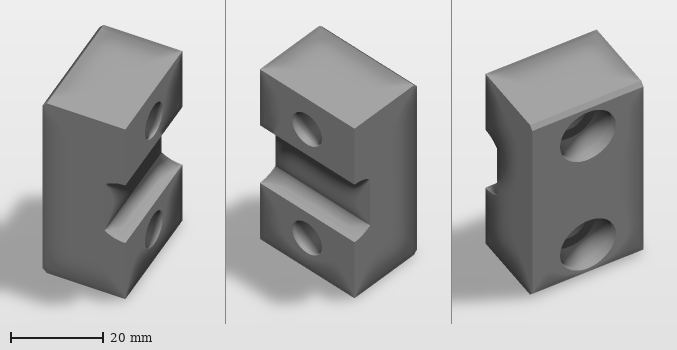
import cadquery as cq

width = 20.0
depth = 28.0
height = 50.0
chamfer = 1.0

hole_spacing = 32.0
hole_diameter = 8.8
counterbore_diameter = 14.0
counterbore_depth = 8.0

groove_radius = 8.5
groove_depth = 5.0


def make_block():
    """Plain block with the two horizontal edges of the -X face chamfered."""
    block = cq.Workplane("XY").box(width, depth, height)
    return block.faces("<X").edges("|Y").chamfer(chamfer)


def make_groove():
    """Cylinder along Y centred on the +X face, limited to the groove depth."""
    cylinder = (
        cq.Workplane("XZ")
        .center(width / 2, 0)
        .circle(groove_radius)
        .extrude(depth / 2, both=True)
    )
    limit = cq.Workplane("XY").box(2 * groove_depth, depth, height).translate((width / 2, 0, 0))
    return cylinder.intersect(limit)


def drill_bolt_holes(body):
    """Through holes counterbored from the -X face, one above the other."""
    return (
        body.faces("<X")
        .workplane(origin=(0, 0, 0))
        .pushPoints([(0, -hole_spacing / 2), (0, hole_spacing / 2)])
        .cboreHole(hole_diameter, counterbore_diameter, counterbore_depth)
    )


result = drill_bolt_holes(make_block().cut(make_groove()))